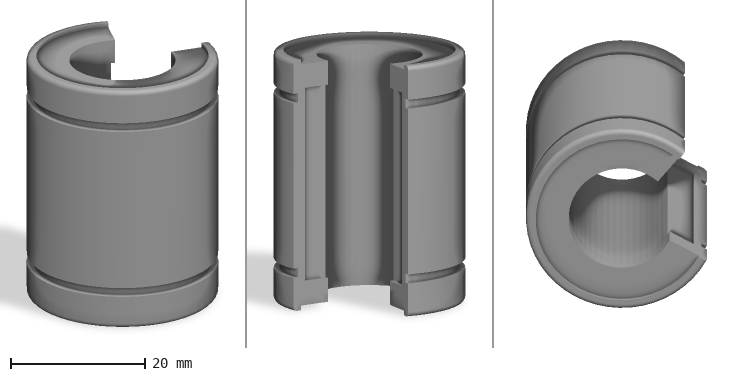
import cadquery as cq
import math

length = 38.1
outer_radius = 14.3
bore_radius = 7.92
edge_radius = 0.72
groove_radius = 13.4
groove_width = 1.4
groove_end_distance = 5.05
recess_radius = 12.85
recess_depth = 0.72

opening_outer_half_width = 8.85
opening_inner_half_width = 4.75
shell_inner_radius = 12.1
cap_inner_face = 4.4
pocket_set_back = 0.6


def cylinder(radius, bottom, height):
    """Cylinder about the Z axis standing on the level `bottom`."""
    return cq.Workplane("XY").workplane(offset=bottom).circle(radius).extrude(height)


def ring_groove(bottom):
    """Ring of material to remove for one retaining-ring groove."""
    ring = cylinder(outer_radius, bottom, groove_width)
    return ring.cut(cylinder(groove_radius, bottom, groove_width))


def opening(set_back):
    """Full-length wedge towards +Y, each wall moved `set_back` further from the middle plane."""
    inner_y = math.sqrt(bore_radius**2 - opening_inner_half_width**2)
    outer_y = math.sqrt(outer_radius**2 - opening_outer_half_width**2)
    flare = (opening_outer_half_width - opening_inner_half_width) / (outer_y - inner_y)
    half_width_at_bore = opening_inner_half_width + set_back * math.hypot(1, flare)
    apex_y = inner_y - half_width_at_bore / flare
    far_y = 2 * outer_radius
    far_half_width = flare * (far_y - apex_y)
    outline = [(0, apex_y), (far_half_width, far_y), (-far_half_width, far_y)]
    return cq.Workplane("XY").polyline(outline).close().extrude(length)


def wall_pockets():
    """Pockets in both walls of the opening, between the end caps and inside the outer shell."""
    core = cylinder(shell_inner_radius, cap_inner_face, length - 2 * cap_inner_face)
    return core.intersect(opening(pocket_set_back))


result = cylinder(outer_radius, 0, length).edges("%CIRCLE").fillet(edge_radius)

for groove_bottom in (groove_end_distance, length - groove_end_distance - groove_width):
    result = result.cut(ring_groove(groove_bottom))
for recess_bottom in (0, length - recess_depth):
    result = result.cut(cylinder(recess_radius, recess_bottom, recess_depth))

result = result.cut(cylinder(bore_radius, 0, length))
result = result.cut(opening(0))
result = result.cut(wall_pockets())